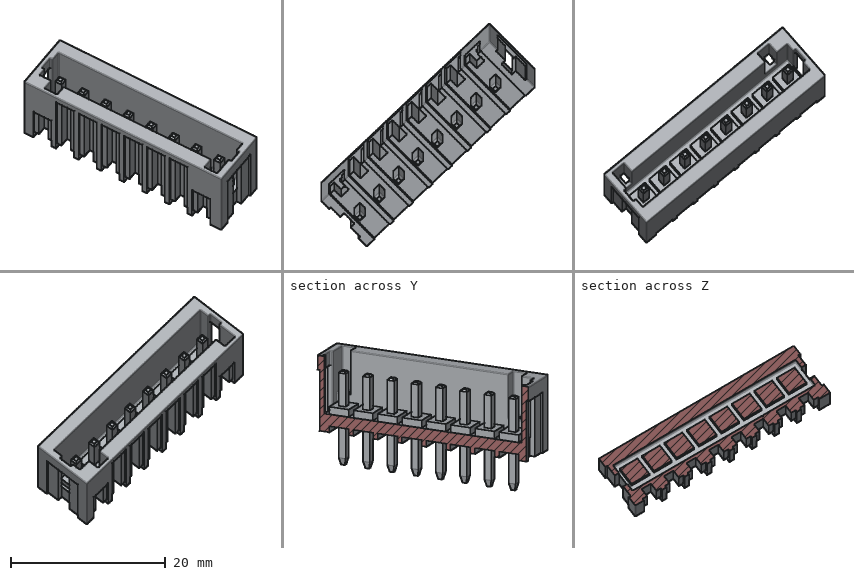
import cadquery as cq

LENGTH = 30.4
WIDTH = 8.5
HEIGHT = 10.28
EDGE_FILLET = 0.105

PIN_COUNT = 8
PITCH = 3.5
ROW_X = -0.15
ROW_Y = 0.1
PIN_SIZE = 1.0
PIN_TOP = 8.2
PIN_BOTTOM = -4.53
TIP_SIZE = 0.52
TOP_TAPER = 0.25
BOTTOM_TAPER = 1.0

CAVITY_LENGTH = 28.35
CAVITY_WIDTH = 4.5
FLOOR_Z = 2.5
PAD_SIZE = 2.8
PAD_TOP = 3.5

KEY_WIDTH = 1.95
KEY_FLOOR_Z = 4.3
KEY_FRONT_Y = -3.7
LEFT_KEY_X = -12.4
RIGHT_KEY_X = CAVITY_LENGTH / 2 - KEY_WIDTH

STEP_DEPTH = 0.3
END_SLOT_WIDTH = 5.4
END_SLOT_CORE_WIDTH = 1.9
END_SLOT_DEPTH = 1.0
END_SLOT_TOP = 8.27
END_WALL_AT_RECESS = 0.6
GROOVE_WIDTH = 2.8
GROOVE_CORE_WIDTH = 1.4
GROOVE_DEPTH = 1.58
GROOVE_TOP = 9.27
END_GROOVE_TOP = 5.15
CHANNEL_HEIGHT = 0.82

FRONT_Y = -WIDTH / 2
END_X = LENGTH / 2
pin_xs = [ROW_X + (i - (PIN_COUNT - 1) / 2) * PITCH for i in range(PIN_COUNT)]


def block(x0, x1, y0, y1, z0, z1):
    """Box between two opposite corners."""
    box = cq.Workplane("XY").box(x1 - x0, y1 - y0, z1 - z0, centered=False)
    return box.translate((x0, y0, z0))


def cavity():
    """Space for the plug, with end recesses and two key pockets, open at the top."""
    back_y = ROW_Y + CAVITY_WIDTH / 2
    front_y = ROW_Y - CAVITY_WIDTH / 2
    half_length = CAVITY_LENGTH / 2
    space = block(-half_length, half_length, front_y, back_y, FLOOR_Z, HEIGHT)
    recess_x = END_X - END_WALL_AT_RECESS
    half_recess = END_SLOT_CORE_WIDTH / 2
    space = space.union(block(-recess_x, recess_x, -half_recess, half_recess, FLOOR_Z, HEIGHT))
    for key_x in (LEFT_KEY_X, RIGHT_KEY_X):
        space = space.union(block(key_x, key_x + KEY_WIDTH, KEY_FRONT_Y, ROW_Y, KEY_FLOOR_Z, HEIGHT))
    return space.clean().edges("not >Z").fillet(EDGE_FILLET)


def end_slot(side):
    """Stepped slot in one end wall; its deep part opens into the end recess."""
    slot = cq.Workplane("XY")
    for width, depth in ((END_SLOT_WIDTH, STEP_DEPTH), (END_SLOT_CORE_WIDTH, END_SLOT_DEPTH)):
        inner_x, outer_x = sorted((side * (END_X - depth), side * END_X))
        slot = slot.add(block(inner_x, outer_x, -width / 2, width / 2, 0, END_SLOT_TOP))
    return slot.combine()


def front_groove(x, top):
    """Stepped vertical groove in the front wall."""
    groove = cq.Workplane("XY")
    for width, depth in ((GROOVE_WIDTH, STEP_DEPTH), (GROOVE_CORE_WIDTH, GROOVE_DEPTH)):
        groove = groove.add(block(x - width / 2, x + width / 2, FRONT_Y, FRONT_Y + depth, 0, top))
    return groove.combine()


def bottom_channel(x):
    """Channel that runs from front to back under the housing."""
    return block(x - GROOVE_WIDTH / 2, x + GROOVE_WIDTH / 2, FRONT_Y, -FRONT_Y, 0, CHANNEL_HEIGHT)


def pin(x):
    """Square pin with both ends tapered."""
    shank_top = PIN_TOP - TOP_TAPER
    shank_bottom = PIN_BOTTOM + BOTTOM_TAPER
    half = PIN_SIZE / 2
    shank = block(x - half, x + half, ROW_Y - half, ROW_Y + half, shank_bottom, shank_top)
    for shank_end, taper in ((shank_top, TOP_TAPER), (shank_bottom, -BOTTOM_TAPER)):
        tip = (
            cq.Workplane("XY", origin=(x, ROW_Y, shank_end))
            .rect(PIN_SIZE, PIN_SIZE)
            .workplane(offset=taper)
            .rect(TIP_SIZE, TIP_SIZE)
            .loft()
        )
        shank = shank.union(tip)
    return shank


def pad(x):
    """Raised square on the cavity floor."""
    half = PAD_SIZE / 2
    return block(x - half, x + half, ROW_Y - half, ROW_Y + half, FLOOR_Z, PAD_TOP)


result = cq.Workplane("XY").box(LENGTH, WIDTH, HEIGHT, centered=(True, True, False))
result = result.edges().fillet(EDGE_FILLET)
result = result.cut(cavity())
rim = result.faces(">Z").val().innerWires()[0]
result = result.newObject(rim.Edges()).fillet(EDGE_FILLET)

for side in (-1, 1):
    result = result.cut(end_slot(side))
for x in pin_xs:
    top = END_GROOVE_TOP if x in (pin_xs[0], pin_xs[-1]) else GROOVE_TOP
    result = result.cut(front_groove(x, top)).cut(bottom_channel(x))

for x in pin_xs:
    result = result.union(pad(x)).union(pin(x))